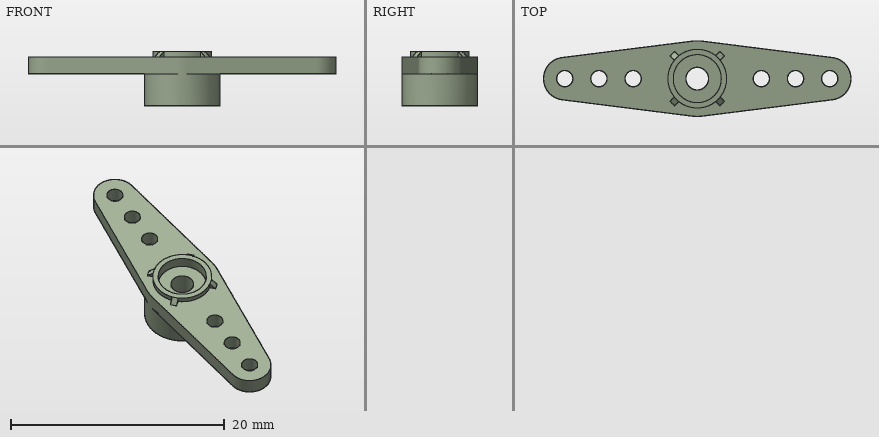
import cadquery as cq
import math

HUB_DIAMETER = 7.1
HUB_DEPTH = 3.0
ARM_THICKNESS = 1.6
ARM_END_RADIUS = 2.0

LINK_HOLE_DIAMETER = 1.5
LINK_HOLE_PITCH = 3.2
LINK_HOLES_PER_ARM = 3
FIRST_LINK_HOLE_X = 6.0

COLLAR_DIAMETER = 5.5
COLLAR_HEIGHT = 0.5
RECESS_DIAMETER = 4.5
RECESS_DEPTH = 1.1
SCREW_HOLE_DIAMETER = 2.1

GUSSET_WIDTH = 0.6
GUSSET_REACH = 0.55
GUSSET_COUNT = 4
FIRST_GUSSET_ANGLE = 45.0

HUB_RADIUS = HUB_DIAMETER / 2
COLLAR_RADIUS = COLLAR_DIAMETER / 2
RECESS_RADIUS = RECESS_DIAMETER / 2
ARM_TOP = HUB_DEPTH + ARM_THICKNESS
COLLAR_TOP = ARM_TOP + COLLAR_HEIGHT
LINK_HOLE_XS = [FIRST_LINK_HOLE_X + i * LINK_HOLE_PITCH for i in range(LINK_HOLES_PER_ARM)]
ARM_END_X = LINK_HOLE_XS[-1]


def cylinder(diameter, bottom, top):
    """Upright cylinder on the hub axis between two heights."""
    return cq.Workplane("XY").workplane(offset=bottom).circle(diameter / 2).extrude(top - bottom)


def make_arm(side):
    """One arm (side is -1 or 1) with edges tangent to the hub and to its rounded tip."""
    taper_angle = math.asin((HUB_RADIUS - ARM_END_RADIUS) / ARM_END_X)
    normal_x = math.sin(taper_angle)
    normal_y = math.cos(taper_angle)
    hub_x = side * HUB_RADIUS * normal_x
    hub_y = HUB_RADIUS * normal_y
    tip_x = side * (ARM_END_X + ARM_END_RADIUS * normal_x)
    tip_y = ARM_END_RADIUS * normal_y
    end_x = side * (ARM_END_X + ARM_END_RADIUS)
    return (
        cq.Workplane("XY")
        .workplane(offset=HUB_DEPTH)
        .moveTo(hub_x, hub_y)
        .lineTo(tip_x, tip_y)
        .threePointArc((end_x, 0), (tip_x, -tip_y))
        .lineTo(hub_x, -hub_y)
        .close()
        .extrude(ARM_THICKNESS)
    )


def make_gusset(angle):
    """Triangular rib sloping from the collar rim to the arm surface."""
    root_x = (RECESS_RADIUS + COLLAR_RADIUS) / 2
    return (
        cq.Workplane("XZ")
        .moveTo(root_x, ARM_TOP)
        .lineTo(COLLAR_RADIUS + GUSSET_REACH, ARM_TOP)
        .lineTo(COLLAR_RADIUS, COLLAR_TOP)
        .lineTo(root_x, COLLAR_TOP)
        .close()
        .extrude(GUSSET_WIDTH / 2, both=True)
        .rotate((0, 0, 0), (0, 0, 1), angle)
    )


def make_link_holes():
    """Rows of linkage holes through both arms."""
    centres = [(side * x, 0) for side in (-1, 1) for x in LINK_HOLE_XS]
    return (
        cq.Workplane("XY")
        .workplane(offset=HUB_DEPTH)
        .pushPoints(centres)
        .circle(LINK_HOLE_DIAMETER / 2)
        .extrude(ARM_THICKNESS)
    )


body = cylinder(HUB_DIAMETER, 0, ARM_TOP)
for arm_side in (-1, 1):
    body = body.union(make_arm(arm_side))
body = body.union(cylinder(COLLAR_DIAMETER, ARM_TOP, COLLAR_TOP))
for index in range(GUSSET_COUNT):
    body = body.union(make_gusset(FIRST_GUSSET_ANGLE + index * 360 / GUSSET_COUNT))

body = body.cut(cylinder(RECESS_DIAMETER, COLLAR_TOP - RECESS_DEPTH, COLLAR_TOP))
body = body.cut(cylinder(SCREW_HOLE_DIAMETER, 0, COLLAR_TOP))
result = body.cut(make_link_holes()).clean()